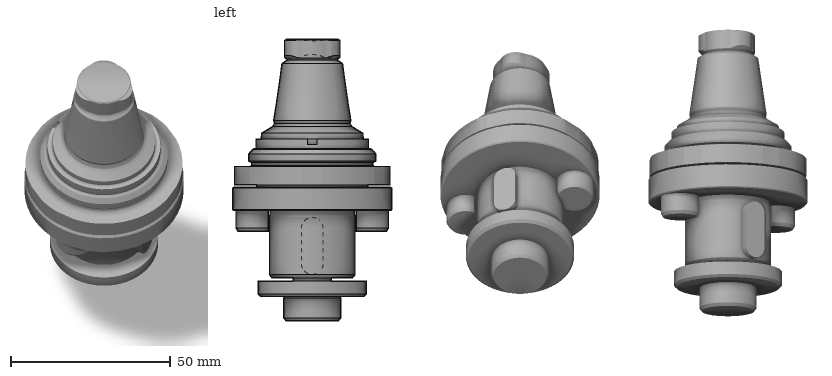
import cadquery as cq
import math

TOTAL_HEIGHT = 88.5

HEAD_DIA = 18.0
HEAD_CHAMFER_WIDTH = 0.7
HEAD_CHAMFER_HEIGHT = 1.0
HEAD_TOP_CHAMFER = 0.4
WASHER_DIA = 34.0
WASHER_BOTTOM_Z = 7.6
WASHER_TOP_Z = 12.5
WASHER_CHAMFER = 0.8
SCREW_DIA = 12.0

HUB_DIA = 27.0
HUB_BOTTOM_Z = 13.5
HUB_TOP_Z = 32.5
HUB_CHAMFER_WIDTH = 0.8
HUB_CHAMFER_HEIGHT = 1.1
NECK_DIA = 26.6
NECK_BOTTOM_Z = 33.3

FLANGE_DIA = 50.0
FLANGE_BOTTOM_Z = 34.6
FLANGE_TOP_Z = 42.0
FLANGE_CHAMFER = 0.35
GAP_DIA = 35.0
NUT_BOTTOM_Z = 42.75
NUT_TOP_Z = 48.5
NUT_ACROSS_FLATS = 48.9
NUT_FLAT_WIDTH = 6.1
NUT_FLAT_ANGLES = (0, 60, 90, 120, 180, 240, 270, 300)

GROOVE_DIA = 38.1
GROOVE_FLARE = 0.35
GROOVE_TOP_Z = 49.7
COLLAR_DIA = 40.0
COLLAR_BOTTOM_Z = 50.2
COLLAR_CHAMFER_Z = 52.5
COLLAR_TOP_Z = 54.2
COLLAR_EDGE_DIA = 37.35
COLLAR_EDGE_Z = 53.9
COLLAR_TOP_DIA = 36.3

SHOULDER_DIA = 35.4
SHOULDER_TOP_Z = 57.1
CONE_DIA = 32.0
CONE_BOTTOM_Z = 58.9
CONE_TOP_DIA = 25.1
CONE_TOP_Z = 61.0
UNDERCUT_DIA = 23.7
UNDERCUT_Z = 62.0

TAPER_LARGE_DIA = 24.3
TAPER_SMALL_DIA = 19.1
TAPER_BOTTOM_Z = 62.9
TAPER_TOP_Z = 80.8
KNOB_NECK_DIA = 15.75
KNOB_NECK_Z = 81.95

KNOB_DIA = 16.9
LOBE_PITCH = 120.0
LOBE_TIP_RADIUS = 9.6
LOBE_FOOT_ANGLE = 30.0
LOBE_EDGE_X = 8.6
LOBE_EDGE_Y = 2.9
SIDE_LOBE_RADIUS = 9.3
SIDE_LOBE_LEAN = 4.0
KNOB_TOP_DIA = 16.3
KNOB_TOP_BREAK = 0.2
KNOB_RIM_DROP = 0.3
LOBE_TOP_DROP = 0.5

PIN_DIA = 12.0
PIN_OFFSET = 18.0
PIN_INNER_FLAT = 13.8
PIN_BOTTOM_Z = 28.1
PIN_CHAMFER_WIDTH = 0.6
PIN_CHAMFER_HEIGHT = 1.1
KEY_WIDTH = 6.9
KEY_OUTER_X = 15.7
KEY_BOTTOM_Z = 14.6
KEY_TOP_Z = HUB_TOP_Z
NOTCH_WIDTH = 3.1
NOTCH_DEPTH = 1.7


def revolve_profile(points):
    """Turn (diameter, z) points, closed along the axis, into a solid."""
    outline = [(0, points[0][1])]
    outline += [(diameter / 2, z) for diameter, z in points]
    outline.append((0, points[-1][1]))
    return cq.Workplane("XZ").polyline(outline).close().revolve(360, (0, 0), (0, 1))


def make_lower_body():
    """Screw head, washer, screw, hub, neck and flange."""
    return revolve_profile([
        (HEAD_DIA - 2 * HEAD_CHAMFER_WIDTH, 0),
        (HEAD_DIA, HEAD_CHAMFER_HEIGHT),
        (HEAD_DIA, WASHER_BOTTOM_Z - HEAD_TOP_CHAMFER),
        (HEAD_DIA - 2 * HEAD_TOP_CHAMFER, WASHER_BOTTOM_Z),
        (WASHER_DIA - 2 * WASHER_CHAMFER, WASHER_BOTTOM_Z),
        (WASHER_DIA, WASHER_BOTTOM_Z + WASHER_CHAMFER),
        (WASHER_DIA, WASHER_TOP_Z),
        (SCREW_DIA, WASHER_TOP_Z),
        (SCREW_DIA, HUB_BOTTOM_Z),
        (HUB_DIA - 2 * HUB_CHAMFER_WIDTH, HUB_BOTTOM_Z),
        (HUB_DIA, HUB_BOTTOM_Z + HUB_CHAMFER_HEIGHT),
        (HUB_DIA, HUB_TOP_Z),
        (NECK_DIA, NECK_BOTTOM_Z),
        (NECK_DIA, FLANGE_BOTTOM_Z),
        (FLANGE_DIA - 2 * FLANGE_CHAMFER, FLANGE_BOTTOM_Z),
        (FLANGE_DIA, FLANGE_BOTTOM_Z + FLANGE_CHAMFER),
        (FLANGE_DIA, FLANGE_TOP_Z - FLANGE_CHAMFER),
        (FLANGE_DIA - 2 * FLANGE_CHAMFER, FLANGE_TOP_Z),
    ])


def make_upper_body():
    """Core through the nut, then collar, shoulder, cone and taper up to the knob."""
    return revolve_profile([
        (GAP_DIA, FLANGE_TOP_Z),
        (GAP_DIA, NUT_TOP_Z),
        (GROOVE_DIA + 2 * GROOVE_FLARE, NUT_TOP_Z),
        (GROOVE_DIA, NUT_TOP_Z + GROOVE_FLARE),
        (GROOVE_DIA, GROOVE_TOP_Z),
        (COLLAR_DIA, COLLAR_BOTTOM_Z),
        (COLLAR_DIA, COLLAR_CHAMFER_Z),
        (COLLAR_EDGE_DIA, COLLAR_EDGE_Z),
        (COLLAR_TOP_DIA, COLLAR_TOP_Z),
        (SHOULDER_DIA, COLLAR_TOP_Z),
        (SHOULDER_DIA, SHOULDER_TOP_Z),
        (CONE_DIA, SHOULDER_TOP_Z),
        (CONE_DIA, CONE_BOTTOM_Z),
        (CONE_TOP_DIA, CONE_TOP_Z),
        (UNDERCUT_DIA, UNDERCUT_Z),
        (TAPER_LARGE_DIA, TAPER_BOTTOM_Z),
        (TAPER_SMALL_DIA, TAPER_TOP_Z),
        (KNOB_NECK_DIA, KNOB_NECK_Z),
    ])


def make_ring_nut():
    """Round nut with narrow wrench flats milled on its rim."""
    nut_dia = math.hypot(NUT_ACROSS_FLATS, NUT_FLAT_WIDTH)
    nut = revolve_profile([(nut_dia, NUT_BOTTOM_Z), (nut_dia, NUT_TOP_Z)])
    cutter_depth = nut_dia - NUT_ACROSS_FLATS
    cutter = cq.Workplane("XY").box(
        cutter_depth, 2 * NUT_FLAT_WIDTH, NUT_TOP_Z - NUT_BOTTOM_Z, centered=(False, True, False)
    ).translate((NUT_ACROSS_FLATS / 2, 0, NUT_BOTTOM_Z))
    for angle in NUT_FLAT_ANGLES:
        nut = nut.cut(cutter.rotate((0, 0, 0), (0, 0, 1), angle))
    return nut


def turned(x, y, angle):
    """Point (x, y) turned about the origin by an angle in degrees."""
    cosine = math.cos(math.radians(angle))
    sine = math.sin(math.radians(angle))
    return (x * cosine - y * sine, x * sine + y * cosine)


def make_knob():
    """Three-lobed prism with a sloped top rim and a 45 degree cone below."""
    radius = KNOB_DIA / 2
    side_angle = LOBE_PITCH - SIDE_LOBE_LEAN
    start = turned(radius, 0, -LOBE_FOOT_ANGLE)
    knob = (
        cq.Workplane("XY").workplane(offset=KNOB_NECK_Z).moveTo(*start)
        .lineTo(LOBE_EDGE_X, -LOBE_EDGE_Y)
        .threePointArc((LOBE_TIP_RADIUS, 0), (LOBE_EDGE_X, LOBE_EDGE_Y))
        .lineTo(*turned(radius, 0, LOBE_FOOT_ANGLE))
        .threePointArc(turned(radius, 0, LOBE_PITCH / 2), turned(radius, 0, LOBE_PITCH - LOBE_FOOT_ANGLE))
        .threePointArc(
            turned(SIDE_LOBE_RADIUS, 0, side_angle),
            turned(LOBE_EDGE_X, LOBE_EDGE_Y, LOBE_PITCH),
        )
        .lineTo(*turned(radius, 0, LOBE_PITCH + LOBE_FOOT_ANGLE))
        .threePointArc((-radius, 0), turned(radius, 0, -LOBE_PITCH - LOBE_FOOT_ANGLE))
        .lineTo(*turned(LOBE_EDGE_X, -LOBE_EDGE_Y, -LOBE_PITCH))
        .threePointArc(
            turned(SIDE_LOBE_RADIUS, 0, -side_angle),
            turned(radius, 0, LOBE_FOOT_ANGLE - LOBE_PITCH),
        )
        .threePointArc(turned(radius, 0, -LOBE_PITCH / 2), start)
        .close()
        .extrude(TOTAL_HEIGHT - KNOB_NECK_Z)
    )
    lobe_tip_dia = 2 * LOBE_TIP_RADIUS
    envelope = revolve_profile([
        (KNOB_NECK_DIA, KNOB_NECK_Z),
        (lobe_tip_dia, KNOB_NECK_Z + LOBE_TIP_RADIUS - KNOB_NECK_DIA / 2),
        (lobe_tip_dia, TOTAL_HEIGHT - LOBE_TOP_DROP),
        (KNOB_TOP_DIA + 2 * KNOB_TOP_BREAK, TOTAL_HEIGHT - KNOB_RIM_DROP),
        (KNOB_TOP_DIA, TOTAL_HEIGHT),
    ])
    return knob.intersect(envelope)


def make_drive_pin():
    """Pin under the flange on the +Y side, flattened where it faces the hub."""
    pin = revolve_profile([
        (PIN_DIA - 2 * PIN_CHAMFER_WIDTH, PIN_BOTTOM_Z),
        (PIN_DIA, PIN_BOTTOM_Z + PIN_CHAMFER_HEIGHT),
        (PIN_DIA, FLANGE_BOTTOM_Z),
    ]).translate((0, PIN_OFFSET, 0))
    hub_side = cq.Workplane("XY").box(
        PIN_DIA, PIN_INNER_FLAT, FLANGE_BOTTOM_Z, centered=(True, False, False)
    )
    return pin.cut(hub_side)


def make_key():
    """Round-ended key that runs along the hub on its +X side."""
    middle_z = (KEY_BOTTOM_Z + KEY_TOP_Z) / 2
    length = KEY_TOP_Z - KEY_BOTTOM_Z
    return cq.Workplane("YZ").center(0, middle_z).slot2D(length, KEY_WIDTH, 90).extrude(KEY_OUTER_X)


def make_notch():
    """Block that cuts the locating notch into the shoulder rim on its -X side."""
    rim_width = (SHOULDER_DIA - CONE_DIA) / 2
    return cq.Workplane("XY").box(
        rim_width, NOTCH_WIDTH, NOTCH_DEPTH, centered=(False, True, False)
    ).translate((-SHOULDER_DIA / 2, 0, SHOULDER_TOP_Z - NOTCH_DEPTH))


drive_pin = make_drive_pin()
result = make_lower_body().union(make_upper_body()).union(make_ring_nut()).union(make_knob())
result = result.union(drive_pin).union(drive_pin.mirror("XZ")).union(make_key())
result = result.cut(make_notch())